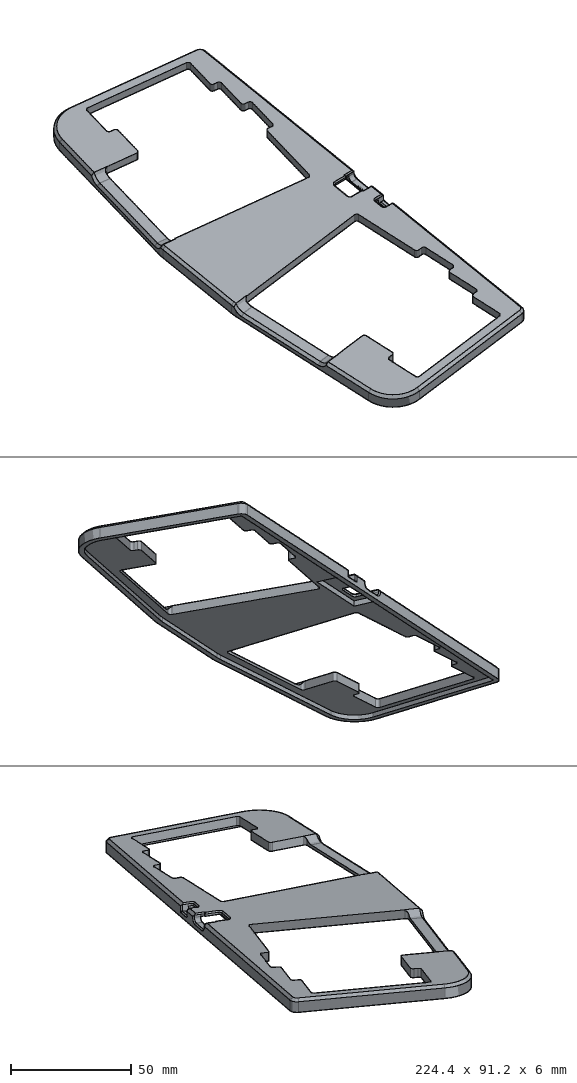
import cadquery as cq
import math

width = 224.4
depth = 91.15
thickness = 6.0
skew = math.radians(7.0)
edge_chamfer = 1.25

rear_corner_radius = 3.0
front_corner_radius = 15.0
knee_radius = 23.0
knee_x = 23.4

key_pitch = 17.0
stagger = 4.2
window_clearance = 0.3
grid_left = -103.4
grid_bottom = -28.4
window_front = -41.75
window_corner_radius = 1.2

rail_height = 3.35
scoop_left = -69.8
scoop_right = -17.8
scoop_ramp = 4.4
scoop_overrun = 1.0
scoop_headroom = 4.0

outer_wall = 2.5
recess_depth = 2.0
pocket_roof = 1.6
pocket_left = -8.5
pocket_right = 21.5
pocket_front = 31.5

notch_bevel = 0.6
notch_overrun = 1.0

connector_mouth_width = 11.4
connector_mouth_front = 40.5
connector_slot_width = 10.3
connector_slot_front = 33.4
connector_slot_corner_radius = 1.2
connector_sill_front = 42.2
connector_sill_height = 2.5
connector_round_radius = 1.95

switch_x = 16.2
switch_width = 5.9
switch_front = 40.2
switch_corner_radius = 0.8
switch_sill_front = 43.0
switch_sill_height = 2.5

rear_y = depth / 2
front_y = -depth / 2


def from_grid(u, v):
    """Turn a point of the left-hand key grid into part coordinates."""
    return (
        u * math.cos(skew) + v * math.sin(skew),
        -u * math.sin(skew) + v * math.cos(skew),
    )


front_edge_v = -knee_x * math.sin(skew) + front_y * math.cos(skew)
corner_center_v = front_edge_v + front_corner_radius
corner_center_x = front_corner_radius - width / 2
corner_center_u = (corner_center_x - corner_center_v * math.sin(skew)) / math.cos(skew)
side_edge_u = corner_center_u - front_corner_radius


def mirrored(solid):
    """The solid together with its copy on the other side of the YZ plane."""
    return solid.union(solid.mirror("YZ"))


def prism(points, bottom, top):
    return cq.Workplane("XY").workplane(offset=bottom).polyline(points).close().extrude(top - bottom)


def outer_prism(inset, height):
    """Prism of the outer outline, moved inward by the inset."""
    rear_x = (side_edge_u + rear_y * math.sin(skew)) / math.cos(skew)
    corner_x, corner_y = from_grid(side_edge_u, front_edge_v)
    left = [(rear_x, rear_y), (corner_x, corner_y), (-knee_x, front_y)]
    right = [(-x, y) for x, y in reversed(left)]
    body = prism(left + right, 0, height)
    corner_rounds = (
        (left[0], rear_corner_radius),
        (left[1], front_corner_radius),
        (left[2], knee_radius),
    )
    for (x, y), radius in corner_rounds:
        for side_x in (x, -x):
            corner = cq.selectors.NearestToPointSelector((side_x, y, height / 2))
            body = body.edges("|Z").edges(corner).fillet(radius)
    if inset > 0:
        body = body.faces("<Z").wires().toPending().offset2D(-inset).extrude(height, combine=False)
    return body


def blank():
    """Full-height plate with a bevelled upper rim."""
    return outer_prism(0, thickness).faces(">Z").chamfer(edge_chamfer)


def underside_hollow():
    """Tool that hollows the underside, leaving the outer wall standing."""
    recess = outer_prism(outer_wall, recess_depth)
    pocket = cq.Workplane("XY").box(
        pocket_right - pocket_left,
        connector_sill_front - pocket_front,
        thickness - pocket_roof,
        centered=False,
    )
    return recess.union(pocket.translate((pocket_left, pocket_front, 0)))


def scoop():
    """Tool that lowers the left front rail, with concave ramps at both ends."""
    drop = thickness - rail_height
    ramp_radius = (scoop_ramp**2 + drop**2) / (2 * drop)
    half_angle = math.atan2(drop, scoop_ramp)
    along = ramp_radius * math.sin(half_angle)
    up = ramp_radius * (1 - math.cos(half_angle))
    floor_left = scoop_left + scoop_ramp
    floor_right = scoop_right - scoop_ramp
    section = (
        cq.Workplane("XZ")
        .moveTo(scoop_left, thickness)
        .threePointArc((floor_left - along, rail_height + up), (floor_left, rail_height))
        .lineTo(floor_right, rail_height)
        .threePointArc((floor_right + along, rail_height + up), (scoop_right, thickness))
        .lineTo(scoop_right, thickness + scoop_headroom)
        .lineTo(scoop_left, thickness + scoop_headroom)
        .close()
        .wire()
        .val()
    )
    back_v = window_front + window_corner_radius
    rim_v = front_edge_v + edge_chamfer
    bevel_run = edge_chamfer + scoop_overrun
    level_cut = cq.Solid.extrudeLinear(
        section.translate((0, back_v, 0)), [], cq.Vector(0, rim_v - back_v, 0)
    )
    bevel_cut = cq.Solid.extrudeLinear(
        section.translate((0, rim_v, 0)), [], cq.Vector(0, -bevel_run, -bevel_run)
    )
    tool = cq.Workplane(level_cut).union(cq.Workplane(bevel_cut))
    return tool.rotate((0, 0, 0), (0, 0, 1), -math.degrees(skew))


def window():
    """Tool for the left key opening: five staggered columns above an L-shaped front edge."""
    left = [grid_left + key_pitch * column for column in range(6)]
    gap = window_clearance
    low = grid_bottom
    high = grid_bottom + 3 * key_pitch
    outline = [
        (left[0] - gap, low - gap),
        (left[0] - gap, high + gap),
        (left[1] - gap, high + gap),
        (left[1] - gap, high + stagger + gap),
        (left[2] - gap, high + stagger + gap),
        (left[2] - gap, high + 2 * stagger + gap),
        (left[3] + gap, high + 2 * stagger + gap),
        (left[3] + gap, high + stagger + gap),
        (left[5] + gap, high + stagger + gap),
        (left[5] + gap, window_front),
        (left[2] - gap, window_front),
        (left[2] - gap, low + stagger - gap),
        (left[1] - gap, low + stagger - gap),
        (left[1] - gap, low - gap),
    ]
    tool = prism([from_grid(u, v) for u, v in outline], -1.0, thickness + 1.0)
    return tool.edges("|Z").fillet(window_corner_radius)


def centered_block(center_x, block_width, y_range, z_range):
    """Block spanning the given Y and Z ranges, centered on center_x."""
    front, rear = y_range
    bottom, top = z_range
    block = cq.Workplane("XY").box(block_width, rear - front, top - bottom, centered=(True, False, False))
    return block.translate((center_x, front, bottom))


def rounded_outline(low_side, high_side, outline_width, center, radius):
    """Rectangle between two levels of its second axis, with its two low corners rounded."""
    outline = cq.Sketch().push([(center, (low_side + high_side) / 2)])
    outline = outline.rect(outline_width, high_side - low_side).reset()
    if radius > 0:
        outline = outline.vertices("<Y").fillet(radius)
    return outline


def opening(center_x, opening_width, front, corner_radius):
    """Through opening with rounded front corners and a rim that flares out at the top face."""
    outline = rounded_outline(front, rear_y + notch_overrun, opening_width, center_x, corner_radius)
    through = cq.Workplane("XY").placeSketch(outline).extrude(thickness)
    flare_plane = cq.Workplane("XY", origin=(0, 0, thickness - notch_bevel))
    return through.union(flare_plane.placeSketch(outline).extrude(notch_bevel, taper=-45))


def rear_passage(center_x, passage_width, sill_front, sill_height, corner_radius):
    """Open-topped passage over the sill, with a rim that flares out at the rear face."""
    outline = rounded_outline(
        sill_height, thickness + notch_overrun, passage_width, -center_x, corner_radius
    )
    start = cq.Plane(origin=(0, sill_front, 0), xDir=(-1, 0, 0), normal=(0, 1, 0))
    flare_start = cq.Plane(origin=(0, rear_y - notch_bevel, 0), xDir=(-1, 0, 0), normal=(0, 1, 0))
    passage = cq.Workplane(start).placeSketch(outline).extrude(rear_y - sill_front)
    return passage.union(cq.Workplane(flare_start).placeSketch(outline).extrude(notch_bevel, taper=-45))


def connector_notch():
    """Tool for the connector: mouth and slot in front of the sill, and the passage over it."""
    rear = rear_y + notch_overrun
    sill = centered_block(0, width, (connector_sill_front, rear), (0, thickness - notch_bevel))
    mouth = opening(0, connector_mouth_width, connector_mouth_front, 0)
    slot = opening(0, connector_slot_width, connector_slot_front, connector_slot_corner_radius)
    passage = rear_passage(0, connector_mouth_width, connector_sill_front, connector_sill_height,
        connector_round_radius)
    return mouth.union(slot).cut(sill).union(passage)


def switch_notch():
    """Tool for the switch: opening in front of the sill, passage over it and a bevel on its lip."""
    rear = rear_y + notch_overrun
    sill = centered_block(switch_x, width, (switch_sill_front, rear), (0, thickness - notch_bevel))
    through = opening(switch_x, switch_width, switch_front, switch_corner_radius)
    passage = rear_passage(switch_x, switch_width, switch_sill_front, switch_sill_height, 0)
    lip = (
        cq.Workplane("YZ", origin=(switch_x - switch_width / 2, 0, 0))
        .moveTo(switch_sill_front, switch_sill_height - notch_bevel)
        .lineTo(switch_sill_front + notch_bevel, switch_sill_height)
        .lineTo(switch_sill_front, switch_sill_height)
        .close()
        .extrude(switch_width)
    )
    return through.cut(sill).union(passage).union(lip)


plate = blank().cut(mirrored(scoop()))
plate = plate.cut(mirrored(window()))
plate = plate.cut(underside_hollow())
plate = plate.cut(connector_notch())
result = plate.cut(switch_notch())